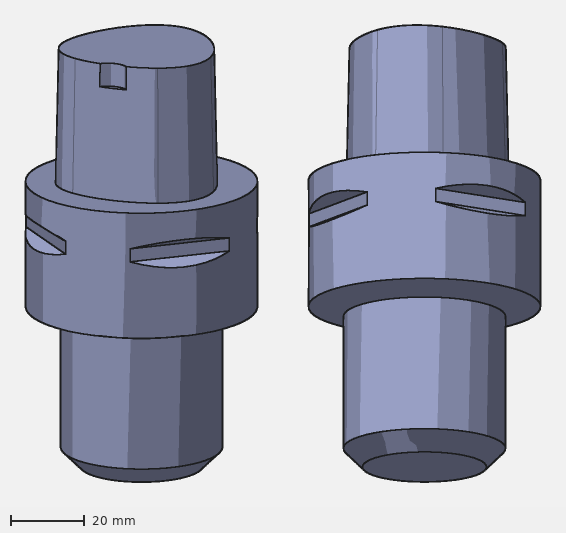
import cadquery as cq
import math

total_height = 118.0
shank_chamfer = 5.2
cone_bottom = 42.0
cone_top = 44.8
collar_top = 80.1

shank_radius = 44.0 / 2
collar_radius = 63.0 / 2

polygon_base_radius = 22.0
polygon_top_radius = 21.1
lobe_height = 1.48
seam_angle = 29.0
lobe_spacing = 120.0
curve_steps = 8

notch_radius = 5.3
notch_depth = 6.5
notch_inner_y = -17.8

groove_height = 68.2
groove_floor_width = 3.7
groove_floor_distance = 28.0
groove_wall_angle = 30.0
groove_angles = (45, 135, 225, 315)


def turned_body():
    """Shank with end chamfer, cone and collar, revolved about Z."""
    return (
        cq.Workplane("XZ")
        .moveTo(0, 0)
        .lineTo(shank_radius - shank_chamfer, 0)
        .lineTo(shank_radius, shank_chamfer)
        .lineTo(shank_radius, cone_bottom)
        .lineTo(collar_radius, cone_top)
        .lineTo(collar_radius, collar_top)
        .lineTo(0, collar_top)
        .close()
        .revolve(360, (0, 0), (0, 1))
    )


def polygon_point(radius, angle, height):
    """Point on a hypotrochoid whose lobe peak at angle zero faces +Y."""
    turn = math.radians(angle)
    x = -radius * math.sin(turn) + lobe_height * math.sin(2 * turn)
    y = radius * math.cos(turn) + lobe_height * math.cos(2 * turn)
    return cq.Vector(x, y, height)


def polygon_wire(radius, height):
    """Closed outline made of three lobe curves and three flatter side curves."""
    seams = []
    for lobe in range(3):
        peak = lobe * lobe_spacing
        seams += [peak - seam_angle, peak + seam_angle]
    seams.append(seams[0] + 360)
    edges = []
    for start, end in zip(seams, seams[1:]):
        step = (end - start) / curve_steps
        angles = [start + i * step for i in range(curve_steps + 1)]
        edges.append(cq.Edge.makeSpline([polygon_point(radius, a, height) for a in angles]))
    return cq.Wire.assembleEdges(edges)


def polygon_taper():
    base = polygon_wire(polygon_base_radius, collar_top)
    top = polygon_wire(polygon_top_radius, total_height)
    return cq.Workplane(obj=cq.Solid.makeLoft([base, top], True))


def notch():
    return (
        cq.Workplane("XY", origin=(0, notch_inner_y - notch_radius, total_height - notch_depth))
        .circle(notch_radius)
        .extrude(notch_depth)
    )


def gripper_groove(angle):
    """Straight trapezoidal cutter whose floor faces outward at the given angle."""
    floor_half = groove_floor_width / 2
    cutter_depth = collar_radius - groove_floor_distance
    mouth_half = floor_half + cutter_depth * math.tan(math.radians(groove_wall_angle))
    return (
        cq.Workplane("XZ", origin=(0, 0, groove_height))
        .moveTo(groove_floor_distance, -floor_half)
        .lineTo(collar_radius, -mouth_half)
        .lineTo(collar_radius, mouth_half)
        .lineTo(groove_floor_distance, floor_half)
        .close()
        .extrude(collar_radius, both=True)
        .rotate((0, 0, 0), (0, 0, 1), angle)
    )


result = turned_body().union(polygon_taper()).cut(notch())
for groove_angle in groove_angles:
    result = result.cut(gripper_groove(groove_angle))